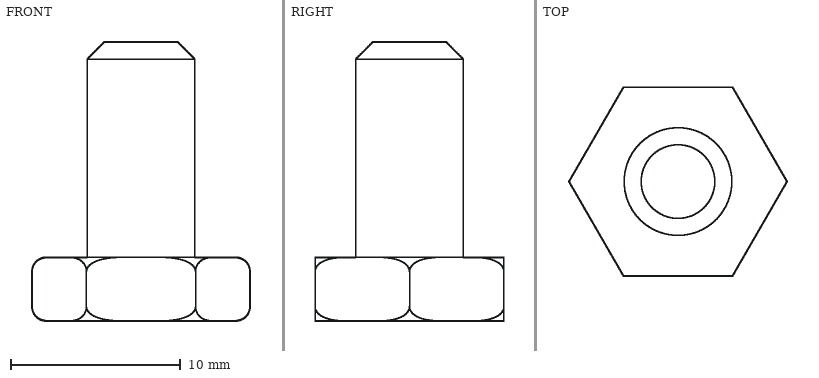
import cadquery as cq
import math

total_height = 16.43
head_height = 3.75
across_flats = 11.12
shank_diameter = 6.35
tip_chamfer = 1.0
top_face_radius = 5.75

flat_radius = across_flats / 2
corner_radius = flat_radius / math.cos(math.pi / 6)

corner_round = corner_radius - flat_radius

arc_reach = top_face_radius - flat_radius
top_trim = corner_round - math.sqrt(corner_round**2 - arc_reach**2)


def rounded_blank():
    """Disc with rounded rims, taller than the head by the top trim."""
    return (
        cq.Workplane("XY")
        .circle(corner_radius)
        .extrude(head_height + top_trim)
        .faces("<Z or >Z")
        .edges()
        .fillet(corner_round)
    )


def head():
    """Hexagonal prism with corners on the X axis, rounded at both ends."""
    prism = cq.Workplane("XY").polygon(6, 2 * corner_radius).extrude(head_height)
    return prism.intersect(rounded_blank())


def shank():
    """Plain cylinder from the head to the chamfered tip."""
    return (
        cq.Workplane("XY")
        .workplane(offset=head_height)
        .circle(shank_diameter / 2)
        .extrude(total_height - head_height)
        .faces(">Z")
        .chamfer(tip_chamfer)
    )


result = head().union(shank())